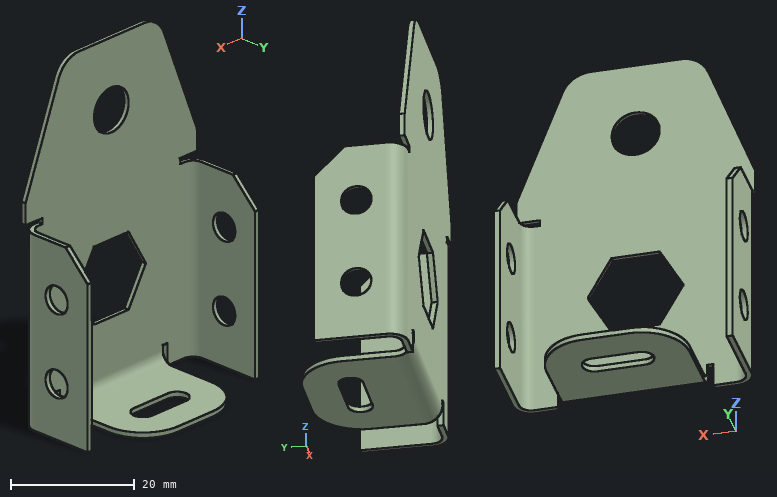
import cadquery as cq
import math

thickness = 1.0
bend_radius = 3.0
width = 40.0
height = 63.0
shoulder_height = 40.0
top_width = 22.0
top_corner_radius = 5.0
round_hole_diameter = 8.0
round_hole_height = 50.0
hexagon_across_corners = 16.0
hexagon_height = 20.0

side_height = 35.0
side_depth = 15.0
side_chamfer = 5.0
side_hole_diameter = 5.0
side_hole_depth = 8.0
side_hole_heights = (10.0, 25.0)

tab_width = 24.0
tab_depth = 20.0
tab_corner_radius = 8.0
slot_length = 12.0
slot_width = 4.05
slot_depth = 12.0

relief_width = 1.0
side_relief_length = 4.0
tab_relief_height = 4.05


def block(x_min, x_max, y_min, y_max, z_min, z_max):
    """Box between the given limits."""
    size = (x_max - x_min, y_max - y_min, z_max - z_min)
    return cq.Workplane("XY").box(*size, centered=False).translate((x_min, y_min, z_min))


def bent_flange(plane, depth, length):
    """Quarter bend starting at the plate, then a flat leg reaching the given depth along local y."""
    inner_radius = bend_radius - thickness
    diagonal = math.sqrt(0.5)
    outer_mid = bend_radius * (1 - diagonal)
    inner_mid = bend_radius - inner_radius * diagonal
    return (
        cq.Workplane(plane)
        .moveTo(bend_radius, 0)
        .threePointArc((outer_mid, outer_mid), (0, bend_radius))
        .lineTo(0, depth)
        .lineTo(thickness, depth)
        .lineTo(thickness, bend_radius)
        .threePointArc((inner_mid, inner_mid), (bend_radius, thickness))
        .close()
        .extrude(length)
    )


def make_plate():
    """Flat back plate with tapered top, cleared where the sheet bends away."""
    half_width = width / 2
    half_top = top_width / 2
    plate = (
        cq.Workplane("XZ")
        .polyline([
            (-half_width, 0),
            (half_width, 0),
            (half_width, shoulder_height),
            (half_top, height),
            (-half_top, height),
            (-half_width, shoulder_height),
        ])
        .close()
        .extrude(-thickness)
    )
    plate = plate.edges("|Y and >Z").fillet(top_corner_radius)
    hole = (
        cq.Workplane("XZ")
        .center(0, round_hole_height)
        .circle(round_hole_diameter / 2)
        .extrude(-thickness)
    )
    hexagon = (
        cq.Workplane("XZ")
        .center(0, hexagon_height)
        .polygon(6, hexagon_across_corners)
        .extrude(-thickness)
    )
    plate = plate.cut(hole).cut(hexagon)

    half_relieved = tab_width / 2 + relief_width
    plate = plate.cut(block(-half_relieved, half_relieved, 0, thickness, 0, tab_relief_height))
    half_tab = tab_width / 2
    plate = plate.union(block(-half_tab, half_tab, 0, thickness, bend_radius, tab_relief_height))

    side_strip = block(-half_width, bend_radius - half_width, 0, thickness, 0, side_height)
    side_relief = block(
        -half_width, side_relief_length - half_width,
        0, thickness,
        side_height, side_height + relief_width,
    )
    cutter = side_strip.union(side_relief)
    return plate.cut(cutter).cut(cutter.mirror("YZ"))


def make_left_flange():
    """Side flange with a chamfered upper corner and two holes."""
    plane = cq.Plane(origin=(-width / 2, 0, 0), xDir=(1, 0, 0), normal=(0, 0, 1))
    flange = bent_flange(plane, side_depth, side_height)
    flange = flange.edges("|X and >Y and >Z").chamfer(side_chamfer)
    holes = (
        cq.Workplane("YZ", origin=(-width / 2, 0, 0))
        .pushPoints([(side_hole_depth, z) for z in side_hole_heights])
        .circle(side_hole_diameter / 2)
        .extrude(thickness)
    )
    return flange.cut(holes)


def make_bottom_tab():
    """Bottom tab with rounded free corners and a slot."""
    plane = cq.Plane(origin=(tab_width / 2, 0, 0), xDir=(0, 0, 1), normal=(-1, 0, 0))
    tab = bent_flange(plane, tab_depth, tab_width)
    tab = tab.edges("|Z and >Y").fillet(tab_corner_radius)
    slot = (
        cq.Workplane("XY")
        .center(0, slot_depth)
        .slot2D(slot_length, slot_width)
        .extrude(thickness)
    )
    return tab.cut(slot)


left_flange = make_left_flange()
result = (
    make_plate()
    .union(left_flange)
    .union(left_flange.mirror("YZ"))
    .union(make_bottom_tab())
)